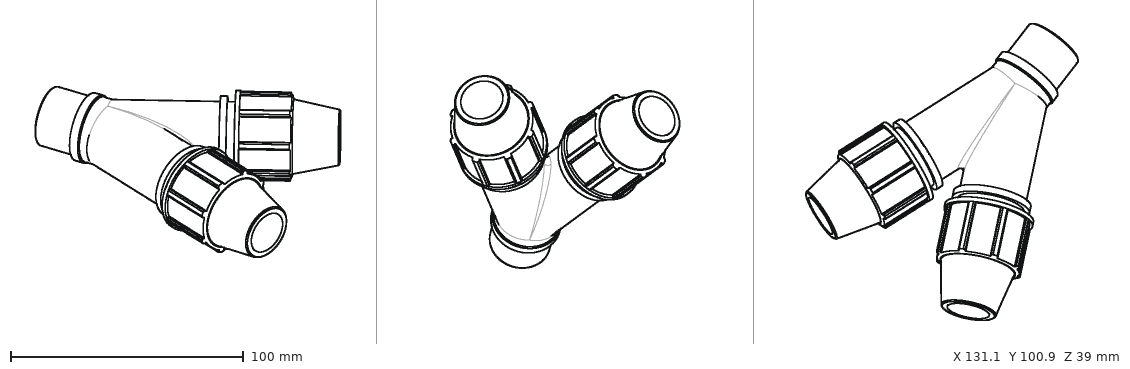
import cadquery as cq

STUB_ANGLE = 200
BRANCH_ANGLE = 45

STUB_DIAMETER = 26.5
STUB_LENGTH = 28.5
STUB_CHAMFER = 0.5
COLLAR_DIAMETER = 30.4
COLLAR_START = 6.2
COLLAR_BEVEL = 0.5
COLLAR_END = 10.6

BORE_DIAMETER = 18.5

ARM_DIAMETER = 29.2
RING_DIAMETER = 34.0
RING_START = 48.4
RING_WIDTH = 3.0
CROTCH_RADIUS = 1.6

FLANGE_DIAMETER = 39.0
FLANGE_START = 55.0
FLANGE_WIDTH = 2.0
GRIP_RADIUS = 18.1
GRIP_END = 79.9
GRIP_END_RADIUS = 16.5
GRIP_CHAMFER_LENGTH = 0.7
NOSE_BASE_RADIUS = 16.1
NOSE_TIP_RADIUS = 12.0
ARM_LENGTH = 100.0
NOSE_CHAMFER = 0.5

RIB_COUNT = 8
RIB_TOP_RADIUS = 19.4
RIB_WIDTH = 3.3
RIB_EDGE_CHAMFER = 0.7
RIB_ROOT_DEPTH = 1.3


def cylinder(diameter, start, end):
    """Cylinder along +X between two stations."""
    return cq.Workplane("YZ").workplane(offset=start).circle(diameter / 2).extrude(end - start)


def turn(body, angle):
    """Swing a body built along +X to a direction in the XY plane."""
    return body.rotate((0, 0, 0), (0, 0, 1), angle)


def revolve_about_x(points):
    """Revolve an outline of (station, radius) points about the X axis."""
    return cq.Workplane("XY").polyline(points).close().revolve(360, (0, 0, 0), (1, 0, 0))


def make_stub():
    pipe = cylinder(STUB_DIAMETER, 0, STUB_LENGTH).faces(">X").chamfer(STUB_CHAMFER)
    root = cylinder(ARM_DIAMETER, 0, COLLAR_START)
    collar = cylinder(COLLAR_DIAMETER, COLLAR_START, COLLAR_END).faces("<X").chamfer(COLLAR_BEVEL)
    return turn(pipe.union(root).union(collar), STUB_ANGLE)


def make_arm_pair():
    """The two arm tubes with the crotch between them rounded."""
    tube = cylinder(ARM_DIAMETER, 0, FLANGE_START)
    pair = tube.union(turn(tube, BRANCH_ANGLE))
    return pair.edges("%ELLIPSE").fillet(CROTCH_RADIUS)


def make_ribs():
    """Ribs with chamfered edges, rooted in the grip; the end chamfer of the grip crosses the rib ends."""
    rib_start = FLANGE_START + FLANGE_WIDTH
    root_radius = GRIP_RADIUS - RIB_ROOT_DEPTH
    rib = (
        cq.Workplane("XY")
        .box(GRIP_END - rib_start, RIB_WIDTH, RIB_TOP_RADIUS - root_radius, centered=(False, True, False))
        .edges("|X and >Z")
        .chamfer(RIB_EDGE_CHAMFER)
        .translate((rib_start, 0, root_radius))
    )
    chamfer_slope = (GRIP_RADIUS - GRIP_END_RADIUS) / GRIP_CHAMFER_LENGTH
    envelope_radius = RIB_TOP_RADIUS + RIB_EDGE_CHAMFER
    setback = (envelope_radius - GRIP_END_RADIUS) / chamfer_slope
    envelope = revolve_about_x([
        (rib_start, 0),
        (rib_start, envelope_radius),
        (GRIP_END - setback, envelope_radius),
        (GRIP_END, GRIP_END_RADIUS),
        (GRIP_END, 0),
    ])
    pitch = 360 / RIB_COUNT
    ribs = cq.Workplane("XY")
    for i in range(RIB_COUNT):
        ribs = ribs.add(rib.rotate((0, 0, 0), (1, 0, 0), (i + 0.5) * pitch))
    return ribs.combine().intersect(envelope)


def make_ring():
    return cylinder(RING_DIAMETER, RING_START, RING_START + RING_WIDTH)


def make_nut():
    """Flange, ribbed grip and nose of one arm, built along +X."""
    nut_body = revolve_about_x([
        (FLANGE_START, 0),
        (FLANGE_START, FLANGE_DIAMETER / 2),
        (FLANGE_START + FLANGE_WIDTH, FLANGE_DIAMETER / 2),
        (FLANGE_START + FLANGE_WIDTH, GRIP_RADIUS),
        (GRIP_END - GRIP_CHAMFER_LENGTH, GRIP_RADIUS),
        (GRIP_END, GRIP_END_RADIUS),
        (GRIP_END, NOSE_BASE_RADIUS),
        (ARM_LENGTH - NOSE_CHAMFER, NOSE_TIP_RADIUS),
        (ARM_LENGTH, NOSE_TIP_RADIUS - NOSE_CHAMFER),
        (ARM_LENGTH, 0),
    ])
    return nut_body.union(make_ribs())


def make_bore():
    """Open bores of the three tubes; the wall of the branch tube crosses the bore of the straight arm."""
    stub_bore = turn(cylinder(BORE_DIAMETER, 0, STUB_LENGTH), STUB_ANGLE)
    arm_bore = cylinder(BORE_DIAMETER, 0, ARM_LENGTH)
    branch_bore = turn(arm_bore, BRANCH_ANGLE)
    branch_tube = turn(cylinder(ARM_DIAMETER, 0, FLANGE_START), BRANCH_ANGLE)
    return arm_bore.cut(branch_tube).union(stub_bore).union(branch_bore)


body = make_arm_pair().union(make_stub())
fittings = (make_ring(), make_nut())
for angle in (0, BRANCH_ANGLE):
    for fitting in fittings:
        body = body.union(turn(fitting, angle))
result = body.cut(make_bore())